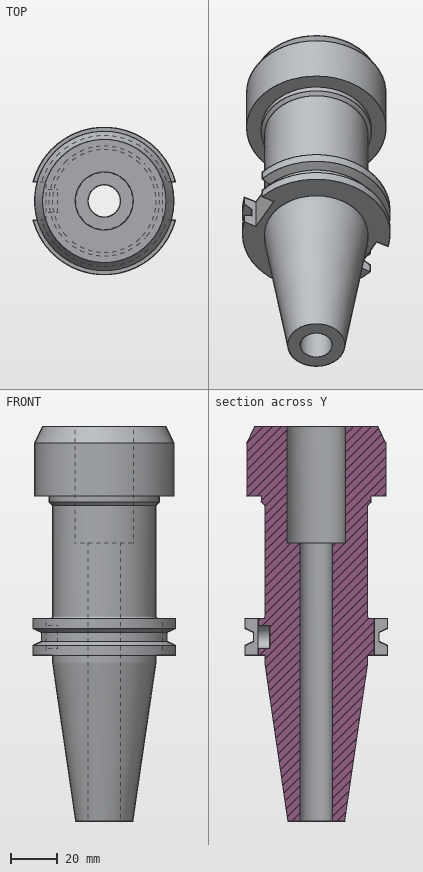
import cadquery as cq
import math


gauge_diameter = 44.45
taper_ratio = 7 / 24
taper_length = 68.25
tail_diameter = gauge_diameter - taper_ratio * taper_length

flange_diameter = 63.5
flange_bottom = 3.175
flange_top = 19.05
flange_middle = (flange_bottom + flange_top) / 2

groove_floor_diameter = 56.4
groove_mouth_width = 7.29
groove_wall_angle = 26
groove_depth = (flange_diameter - groove_floor_diameter) / 2
groove_floor_width = groove_mouth_width - 2 * groove_depth * math.tan(math.radians(groove_wall_angle))

body_diameter = gauge_diameter
body_fillet = 0.8

nose_height = 101.6
nut_diameter = 60.0
nut_face_diameter = 53.0
nut_height = 30.0
nut_cone_height = 7.2
nut_bottom = nose_height - nut_height
collar_diameter = 47.4
collar_height = 4.0
collar_chamfer = (collar_diameter - body_diameter) / 2

collet_bore_diameter = 25.0
collet_bore_depth = 50.0
through_bore_diameter = 13.8

slot_width = 16.38
slot_floor_distance = 25.0
slot_hole_diameter = 9.8
slot_hole_depth = 5.0


def make_turned_body():
    """Revolve the half outline of the solid holder."""
    flange_radius = flange_diameter / 2
    groove_radius = groove_floor_diameter / 2
    body_radius = body_diameter / 2
    collar_radius = collar_diameter / 2
    collar_bottom = nut_bottom - collar_height
    outline = (
        cq.Workplane("XZ")
        .moveTo(0, -taper_length)
        .lineTo(tail_diameter / 2, -taper_length)
        .lineTo(gauge_diameter / 2, 0)
        .lineTo(gauge_diameter / 2, flange_bottom)
        .lineTo(flange_radius, flange_bottom)
        .lineTo(flange_radius, flange_middle - groove_mouth_width / 2)
        .lineTo(groove_radius, flange_middle - groove_floor_width / 2)
        .lineTo(groove_radius, flange_middle + groove_floor_width / 2)
        .lineTo(flange_radius, flange_middle + groove_mouth_width / 2)
        .lineTo(flange_radius, flange_top)
        .lineTo(body_radius + body_fillet, flange_top)
        .radiusArc((body_radius, flange_top + body_fillet), body_fillet)
        .lineTo(body_radius, collar_bottom)
        .lineTo(collar_radius, collar_bottom + collar_chamfer)
        .lineTo(collar_radius, nut_bottom)
        .lineTo(nut_diameter / 2, nut_bottom)
        .lineTo(nut_diameter / 2, nose_height - nut_cone_height)
        .lineTo(nut_face_diameter / 2, nose_height)
        .lineTo(0, nose_height)
        .close()
    )
    return outline.revolve(360, (0, 0), (0, 1))


def cut_bores(holder):
    """Cut the collet bore from the nut face and a smaller bore right through."""
    nut_face = cq.Workplane("XY").workplane(offset=nose_height)
    collet_bore = nut_face.circle(collet_bore_diameter / 2).extrude(-collet_bore_depth)
    through_bore = nut_face.circle(through_bore_diameter / 2).extrude(-(nose_height + taper_length))
    return holder.cut(collet_bore).cut(through_bore)


def cut_drive_slot(holder, side):
    """Cut one drive slot across the flange; side is -1 for -X and +1 for +X."""
    slot_depth = flange_diameter / 2 - slot_floor_distance
    slot_centre = side * (slot_floor_distance + slot_depth / 2)
    slot = (
        cq.Workplane("XY")
        .workplane(offset=flange_bottom)
        .center(slot_centre, 0)
        .rect(slot_depth, slot_width)
        .extrude(flange_top - flange_bottom)
    )
    return holder.cut(slot)


def cut_slot_hole(holder):
    """Cut the blind round hole in the floor of the -X slot."""
    hole = (
        cq.Workplane("YZ")
        .workplane(offset=-slot_floor_distance)
        .center(0, flange_middle)
        .circle(slot_hole_diameter / 2)
        .extrude(slot_hole_depth)
    )
    return holder.cut(hole)


result = cut_bores(make_turned_body())
for slot_side in (-1, 1):
    result = cut_drive_slot(result, slot_side)
result = cut_slot_hole(result)